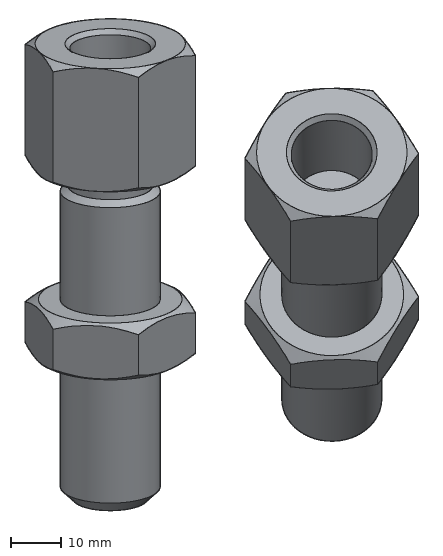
import cadquery as cq
import math

total_length = 96.0
across_corners = 34.7
hexagon_sides = 6
hexagon_turn = 180 / hexagon_sides
bevel_angle = 30.0

head_height = 26.0
head_base = total_length - head_height
head_face_radius = 15.0

bore_radius = 8.1
bore_mouth_radius = 9.0
bore_depth = 20.0

shank_radius = 10.0
tip_chamfer = 2.5
neck_radius = 8.4
neck_fillet = 1.4
neck_length = 3.9
neck_cone_height = 1.2

nut_base = 30.0
nut_height = 12.0
nut_face_radius = 14.3


def beveled_hexagon(base, height, face_radius):
    """Hexagonal prism with corners along Y and conical bevels at both ends."""
    corner_radius = across_corners / 2
    bevel_drop = (corner_radius - face_radius) * math.tan(math.radians(bevel_angle))
    top = base + height
    prism = (
        cq.Workplane("XY", origin=(0, 0, base))
        .polygon(hexagon_sides, across_corners)
        .extrude(height)
        .rotate((0, 0, 0), (0, 0, 1), hexagon_turn)
    )
    envelope = (
        cq.Workplane("XZ")
        .moveTo(0, base)
        .lineTo(face_radius, base)
        .lineTo(corner_radius, base + bevel_drop)
        .lineTo(corner_radius, top - bevel_drop)
        .lineTo(face_radius, top)
        .lineTo(0, top)
        .close()
        .revolve(360, (0, 0, 0), (0, 1, 0))
    )
    return prism.intersect(envelope)


def make_shank():
    """Round shank with a chamfered tip and a necked undercut below the head."""
    cone_top = head_base - neck_length
    return (
        cq.Workplane("XZ")
        .lineTo(shank_radius - tip_chamfer, 0)
        .lineTo(shank_radius, tip_chamfer)
        .lineTo(shank_radius, cone_top - neck_cone_height)
        .lineTo(neck_radius, cone_top)
        .lineTo(neck_radius, head_base - neck_fillet)
        .radiusArc((neck_radius + neck_fillet, head_base), neck_fillet)
        .lineTo(0, head_base)
        .close()
        .revolve(360, (0, 0, 0), (0, 1, 0))
    )


def make_bore():
    """Flat-bottomed bore with a 45 degree countersunk mouth."""
    mouth_depth = bore_mouth_radius - bore_radius
    bore_floor = total_length - bore_depth
    return (
        cq.Workplane("XZ")
        .moveTo(0, bore_floor)
        .lineTo(bore_radius, bore_floor)
        .lineTo(bore_radius, total_length - mouth_depth)
        .lineTo(bore_mouth_radius, total_length)
        .lineTo(0, total_length)
        .close()
        .revolve(360, (0, 0, 0), (0, 1, 0))
    )


def make_bolt():
    head = beveled_hexagon(head_base, head_height, head_face_radius)
    return head.union(make_shank()).cut(make_bore())


def make_nut():
    """Hexagonal nut whose bore fits the shank."""
    blank = beveled_hexagon(nut_base, nut_height, nut_face_radius)
    hole = cq.Workplane("XY", origin=(0, 0, nut_base)).circle(shank_radius).extrude(nut_height)
    return blank.cut(hole)


bolt = make_bolt()
nut = make_nut()

result = cq.Compound.makeCompound([bolt.val(), nut.val()])